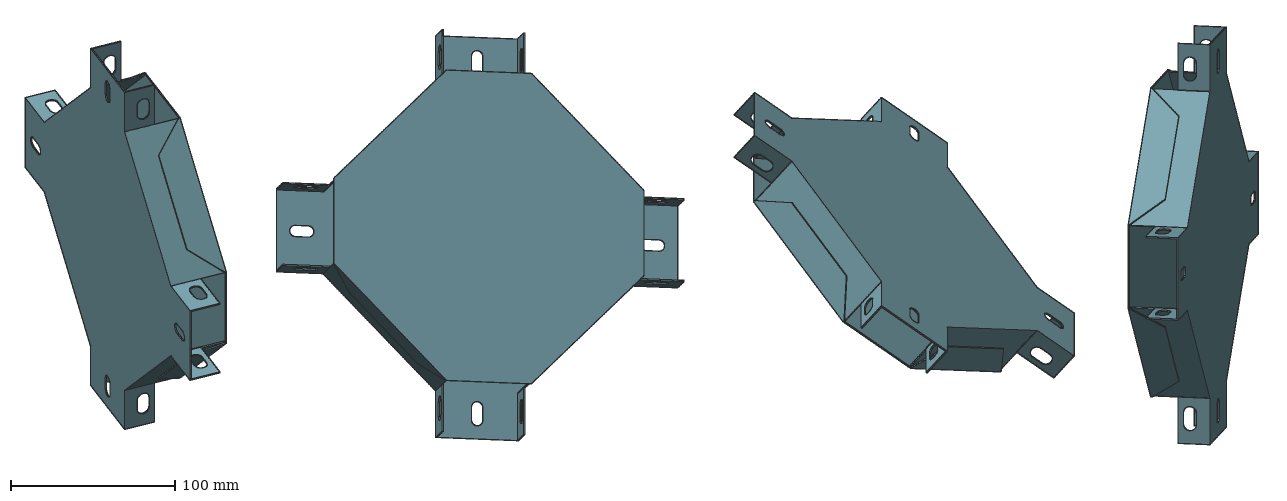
import cadquery as cq
import math

span = 249.3
depth = 36.7
sheet = 0.9
arm_width = 51.5
corner_reach = 95.7
ear_depth = 20.0
flap_depth = 20.2
flap_taper = math.radians(45)

slot_length = 15.0
face_slot_width = 7.0
ear_slot_width = 8.0
slot_inset = 15.7
ear_slot_height = 12.5

front_y = -depth / 2
back_y = depth / 2
half_arm = arm_width / 2
slot_reach = span / 2 - slot_inset
quarter_turns = [0, 90, 180, 270]

side_distance = (half_arm + corner_reach) / math.sqrt(2)
side_length = (corner_reach - half_arm) * math.sqrt(2)
skin_offset = sheet / math.sqrt(2)


def turn(shape, angle):
    """Turn a shape about the Y axis through the centre."""
    return shape.rotate((0, 0, 0), (0, 1, 0), angle)


def octagon_sheet(half_short, reach, start_y):
    """Octagonal sheet with four short sides at the given reach along X and Z."""
    outline = [
        (half_short, reach), (reach, half_short), (reach, -half_short), (half_short, -reach),
        (-half_short, -reach), (-reach, -half_short), (-reach, half_short), (-half_short, reach),
    ]
    plane = cq.Workplane("XZ", origin=(0, start_y, 0))
    return plane.polyline(outline).close().extrude(-sheet)


def arm_plate():
    """Flat part of the +Z arm, overlapping the octagon from the centre out."""
    size = (arm_width, sheet, span / 2)
    return cq.Workplane("XY", origin=(-half_arm, front_y, 0)).box(*size, centered=False)


def arm_ears():
    """Two ears folded back from the long edges of the +Z arm."""
    ear_start = corner_reach - sheet / 2
    size = (sheet, ear_depth, span / 2 - ear_start)
    left = cq.Workplane("XY", origin=(-half_arm, front_y, ear_start)).box(*size, centered=False)
    return left.union(left.mirror("YZ"))


def arm_slots():
    """Cutters for the slot in the face of the +Z arm and the slots through its ears."""
    face_slot = (
        cq.Workplane("XZ", origin=(0, front_y, slot_reach))
        .slot2D(slot_length, face_slot_width, 90)
        .extrude(sheet, both=True)
    )
    ear_slots = (
        cq.Workplane("YZ", origin=(0, front_y + ear_slot_height, slot_reach))
        .slot2D(slot_length, ear_slot_width, 90)
        .extrude(arm_width, both=True)
    )
    return face_slot.union(ear_slots)


def side_wall():
    """Wall from the tray face up to the underside of the cover, facing +X."""
    size = (sheet, depth - sheet, side_length)
    corner = (side_distance - sheet, front_y, -side_length / 2)
    return cq.Workplane("XY", origin=corner).box(*size, centered=False)


def cover_flap():
    """Tapered flap folded from the cover over the outside of a wall, facing +X."""
    root_y = back_y - sheet
    tip_y = back_y - flap_depth
    half_root = side_length / 2
    half_tip = half_root - (root_y - tip_y) * math.tan(flap_taper)
    outline = [
        (back_y, -half_root), (root_y, -half_root), (tip_y, -half_tip),
        (tip_y, half_tip), (root_y, half_root), (back_y, half_root),
    ]
    return cq.Workplane("YZ", origin=(side_distance, 0, 0)).polyline(outline).close().extrude(sheet)


def make_tray():
    """Cross-shaped tray with four slotted arms and four diagonal walls."""
    tray = octagon_sheet(half_arm, corner_reach, front_y)
    for angle in quarter_turns:
        tray = tray.union(turn(arm_plate(), angle))
        tray = tray.union(turn(side_wall(), angle + 45))
        tray = tray.union(turn(arm_ears(), angle))
    for angle in quarter_turns:
        tray = tray.cut(turn(arm_slots(), angle))
    return tray


def make_cover():
    """Octagonal cover resting on the walls, with a flap over each of them."""
    cover = octagon_sheet(half_arm + skin_offset, corner_reach + skin_offset, back_y - sheet)
    for angle in quarter_turns:
        cover = cover.union(turn(cover_flap(), angle + 45))
    return cover


tray = make_tray()
cover = make_cover()

result = cq.Compound.makeCompound([tray.val(), cover.val()])